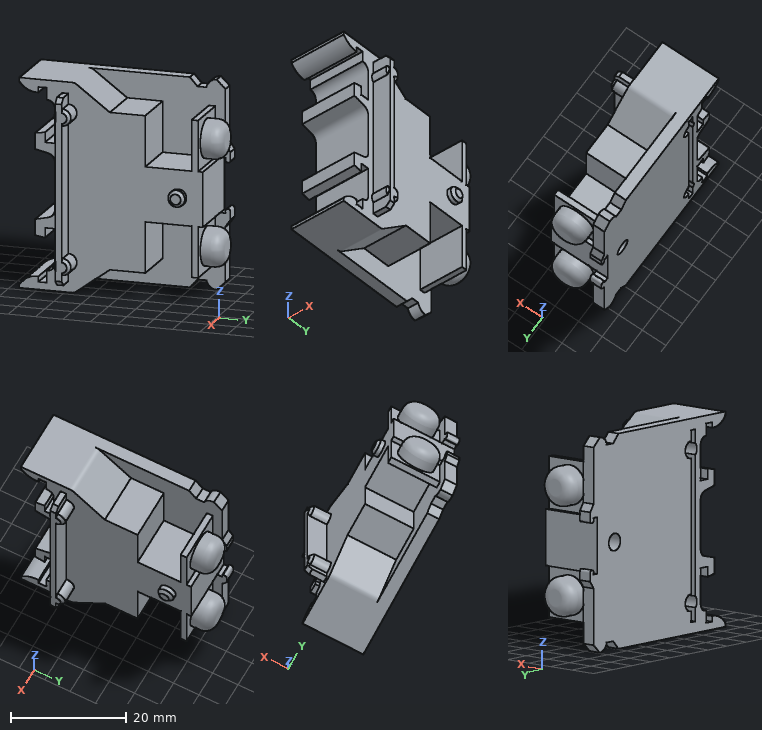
import cadquery as cq
import math


half_height = 19.0
plate_thickness = 2.4
body_end_x = 11.97
total_length_x = 15.8

foot_tip_z = 18.3
foot_radius = 3.88
foot_lip_y = 3.5
foot_lip_z = 16.6
foot_slot_z = 17.6
foot_slot_y = 5.0
front_wall_y = 6.5
front_corner_radius = 1.52
front_corner_z = 13.9

hook_top_z = 7.7
hook_catch_y = 4.7
hook_catch_z = 9.55
hook_nose_y = 2.85
hook_nose_top_z = 9.25
hook_nose_bottom_z = 6.35
hook_root_z = 5.5
hook_root_radius = 1.52

plate_top_end_y = 28.0
ear_notch_z = 17.45
ear_notch_front_y = 29.4
ear_notch_rear_y = 31.0
ear_peak_y = 32.9
ear_radius = 1.95
plate_rear_y = 34.5
latch_slope_top_z = 7.45
latch_slope_end_z = 6.1
latch_rear_y = 35.4
latch_radius = (latch_rear_y - plate_rear_y) / 2
latch_tip_z = 4.15
window_half_height = 4.98
rear_wall_y = 33.55

body_top_end_y = 9.58
ramp_corner_y = 10.1
ramp_end_y = 16.55
step_z = 14.2
step_end_y = 23.03
screw_wall_front_y = 31.5
screw_wall_rear_y = 32.68
core_half_height = window_half_height

screw_radius = 3.55
screw_z = 9.73
screw_rear_y = 36.5
screw_round = 2.0

peg_radius = 1.52
rear_peg_y = 29.05
rear_peg_length = 1.45
front_peg_y = 9.0
front_peg_z = 13.5
peg_chamfer = 0.57
bar_front_y = 7.85
bar_half_height = 16.95
bar_chamfer = 0.95
front_peg_length = total_length_x - body_end_x
recess_depth = front_peg_length

peg_places = [
    (rear_peg_y, 0, rear_peg_length),
    (front_peg_y, front_peg_z, front_peg_length),
    (front_peg_y, -front_peg_z, front_peg_length),
]


def front_outline(start_x):
    """Open upper-half outline from the foot tip inwards and down to the symmetry plane."""
    corner_offset = front_corner_radius * math.sqrt(0.5)
    hook_slope = math.atan2(hook_nose_bottom_z - hook_root_z, front_wall_y - hook_nose_y)
    root_setback = hook_root_radius * math.tan((math.pi / 2 - hook_slope) / 2)
    root_start = (
        front_wall_y - root_setback * math.cos(hook_slope),
        hook_root_z + root_setback * math.sin(hook_slope),
    )
    return (
        cq.Workplane("YZ", origin=(start_x, 0, 0))
        .moveTo(0, half_height)
        .lineTo(0, foot_tip_z)
        .radiusArc((foot_lip_y, foot_lip_z), -foot_radius)
        .lineTo(foot_lip_y, foot_slot_z)
        .lineTo(foot_slot_y, foot_slot_z)
        .lineTo(foot_slot_y, front_corner_z + front_corner_radius)
        .threePointArc(
            (foot_slot_y + corner_offset, front_corner_z + corner_offset),
            (front_wall_y, front_corner_z),
        )
        .lineTo(front_wall_y, hook_top_z)
        .lineTo(hook_catch_y, hook_top_z)
        .lineTo(hook_catch_y, hook_catch_z)
        .lineTo(hook_nose_y, hook_nose_top_z)
        .lineTo(hook_nose_y, hook_nose_bottom_z)
        .lineTo(*root_start)
        .tangentArcPoint((front_wall_y, hook_root_z - root_setback), relative=False)
        .lineTo(front_wall_y, 0)
    )


def cover_plate_half():
    """Thin plate that closes the block on its near side, with ear and latch at the rear."""
    latch_round_z = latch_tip_z + latch_radius
    return (
        front_outline(0)
        .lineTo(rear_wall_y, 0)
        .lineTo(rear_wall_y, window_half_height)
        .lineTo(plate_rear_y, window_half_height)
        .lineTo(plate_rear_y, latch_round_z)
        .threePointArc((plate_rear_y + latch_radius, latch_tip_z), (latch_rear_y, latch_round_z))
        .lineTo(latch_rear_y, latch_slope_end_z)
        .lineTo(plate_rear_y, latch_slope_top_z)
        .lineTo(plate_rear_y, ear_notch_z)
        .lineTo(ear_peak_y, half_height)
        .radiusArc((ear_notch_rear_y, ear_notch_z), -ear_radius)
        .lineTo(ear_notch_front_y, ear_notch_z)
        .lineTo(plate_top_end_y, half_height)
        .close()
        .extrude(plate_thickness)
    )


def body_half():
    """Stepped block behind the cover plate, from its symmetry plane upwards."""
    ramp_angle = math.atan2(half_height - step_z, ramp_end_y - ramp_corner_y)
    blend_setback = ramp_corner_y - body_top_end_y
    blend_end = (
        ramp_corner_y + blend_setback * math.cos(ramp_angle),
        half_height - blend_setback * math.sin(ramp_angle),
    )
    return (
        front_outline(plate_thickness)
        .lineTo(rear_wall_y, 0)
        .lineTo(rear_wall_y, core_half_height)
        .lineTo(screw_wall_rear_y, core_half_height)
        .lineTo(screw_wall_rear_y, step_z)
        .lineTo(screw_wall_front_y, step_z)
        .lineTo(screw_wall_front_y, core_half_height)
        .lineTo(step_end_y, core_half_height)
        .lineTo(step_end_y, step_z)
        .lineTo(ramp_end_y, step_z)
        .lineTo(*blend_end)
        .tangentArcPoint((body_top_end_y, half_height), relative=False)
        .close()
        .extrude(body_end_x - plate_thickness)
    )


def terminal_screw():
    """Round-topped screw head standing on the rear face of the screw wall."""
    screw_x = (plate_thickness + body_end_x) / 2
    return (
        cq.Workplane("XZ", origin=(screw_x, screw_wall_rear_y, screw_z))
        .circle(screw_radius)
        .extrude(screw_wall_rear_y - screw_rear_y)
        .faces(">Y")
        .edges()
        .fillet(screw_round)
    )


def peg(y, z, length):
    return (
        cq.Workplane("YZ", origin=(body_end_x, y, z))
        .circle(peg_radius)
        .extrude(length)
        .faces(">X")
        .chamfer(peg_chamfer)
    )


def peg_recess(y, z):
    return cq.Workplane("YZ", origin=(0, y, z)).circle(peg_radius).extrude(recess_depth)


def bar_block(start_x, length):
    """Upright bar through the front peg axes, with its rear face on those axes."""
    return (
        cq.Workplane("YZ", origin=(start_x, (bar_front_y + front_peg_y) / 2, 0))
        .rect(front_peg_y - bar_front_y, 2 * bar_half_height)
        .extrude(length)
    )


upper_half = cover_plate_half().union(body_half()).union(terminal_screw())
result = upper_half.union(upper_half.mirror("XY"))

bar = bar_block(body_end_x, front_peg_length).faces(">X").edges("|Y").chamfer(bar_chamfer)
result = result.union(bar).cut(bar_block(0, recess_depth))

for peg_y, peg_z, peg_length in peg_places:
    result = result.union(peg(peg_y, peg_z, peg_length))
    result = result.cut(peg_recess(peg_y, peg_z))

result = result.clean()